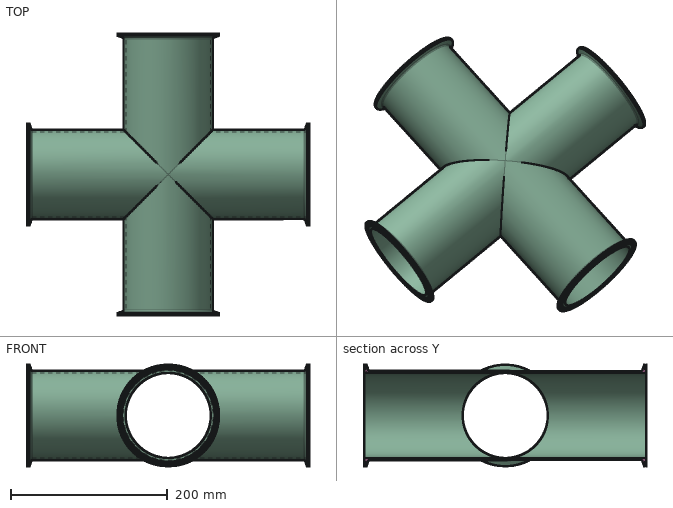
import cadquery as cq
import math

span = 360.0
half_span = span / 2

tube_diameter = 114.5
bore_diameter = 108.5
tube_radius = tube_diameter / 2
bore_radius = bore_diameter / 2

rim_diameter = 130.0
rim_radius = rim_diameter / 2
rim_thickness = 3.0
cone_angle = math.radians(20)
root_fillet_radius = 1.62

groove_center_diameter = 122.0
groove_center_radius = groove_center_diameter / 2
groove_mouth_width = 4.0
groove_floor_width = 2.0
groove_depth = 1.5

branch_angles = (0, 90, 180, 270)


def branch_body():
    """Solid tube and ferrule along +X, from the centre of the cross to the end face."""
    rim_back = half_span - rim_thickness
    fillet_center_radius = tube_radius + root_fillet_radius
    cone_end_radius = fillet_center_radius - root_fillet_radius * math.sin(cone_angle)
    cone_end = rim_back - (rim_radius - cone_end_radius) * math.tan(cone_angle)
    fillet_start = cone_end - root_fillet_radius * math.cos(cone_angle)
    fillet_middle_angle = (math.pi / 2 + cone_angle) / 2
    fillet_middle = (
        fillet_start + root_fillet_radius * math.cos(fillet_middle_angle),
        fillet_center_radius - root_fillet_radius * math.sin(fillet_middle_angle),
    )
    profile = (
        cq.Workplane("XY")
        .lineTo(0, tube_radius)
        .lineTo(fillet_start, tube_radius)
        .threePointArc(fillet_middle, (cone_end, cone_end_radius))
        .lineTo(rim_back, rim_radius)
        .lineTo(half_span, rim_radius)
        .lineTo(half_span, 0)
        .close()
    )
    return profile.revolve(360, (0, 0, 0), (1, 0, 0))


def face_groove():
    """Ring removed from the end face on +X."""
    floor = half_span - groove_depth
    profile = [
        (half_span, groove_center_radius - groove_mouth_width / 2),
        (floor, groove_center_radius - groove_floor_width / 2),
        (floor, groove_center_radius + groove_floor_width / 2),
        (half_span, groove_center_radius + groove_mouth_width / 2),
    ]
    return cq.Workplane("XY").polyline(profile).close().revolve(360, (0, 0, 0), (1, 0, 0))


def four_way(branch):
    """Union of the branch turned about Z to each arm of the cross."""
    arms = cq.Workplane("XY")
    for angle in branch_angles:
        arms = arms.add(branch.rotate((0, 0, 0), (0, 0, 1), angle))
    return arms.combine()


def through_bore(plane):
    """Cylinder passing through two opposite arms."""
    return cq.Workplane(plane).circle(bore_radius).extrude(half_span, both=True)


grooved_branch = branch_body().cut(face_groove())
result = four_way(grooved_branch).cut(through_bore("YZ")).cut(through_bore("XZ"))